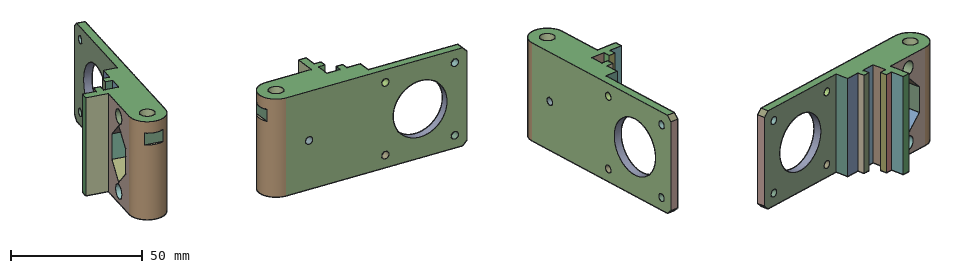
import cadquery as cq

length = 88.2
height = 42.0
total_depth = 24.25

plate_thickness = 3.5
shelf_depth = 9.3
body_depth = 15.0
tooth_size = 3.0
wall_thickness = 3.4
hook_depth = 15.4

shelf_x = 42.0
tooth_x = 48.0
wall_x = 56.9
pivot_radius = body_depth / 2
pivot_x = length - pivot_radius
pivot_diameter = 6.0

corner_chamfer = 2.0
motor_x = 21.0
motor_bore = 24.0
screw_spacing = 31.05
screw_diameter = 3.2

pocket_x = 70.6
pocket_width = 13.3
pocket_half_height = 12.1
pocket_shoulder = 5.5
pocket_depth = 10.0
blind_spacing = 32.0
blind_diameter = 6.0
blind_depth = 10.0

notch_depth = 1.1
notch_height = 5.0
notch_z = 13.6


def front_plane(depth):
    """Sketch plane facing -Y, with local axes along X and Z."""
    return cq.Workplane("XZ", origin=(0, -depth, 0))


def make_body():
    wall_end_x = wall_x + wall_thickness
    profile = (
        cq.Workplane("XY", origin=(0, 0, -height / 2))
        .moveTo(0, 0)
        .lineTo(pivot_x, 0)
        .threePointArc((length, -pivot_radius), (pivot_x, -body_depth))
        .lineTo(wall_end_x, -body_depth)
        .lineTo(wall_end_x, -total_depth)
        .lineTo(wall_x, -total_depth)
        .lineTo(wall_x, -hook_depth - tooth_size)
        .lineTo(wall_x - tooth_size, -hook_depth - tooth_size)
        .lineTo(wall_x - tooth_size, -hook_depth)
        .lineTo(wall_x, -hook_depth)
        .lineTo(wall_x, -shelf_depth)
        .lineTo(tooth_x + tooth_size, -shelf_depth)
        .lineTo(tooth_x + tooth_size, -shelf_depth - tooth_size)
        .lineTo(tooth_x, -shelf_depth - tooth_size)
        .lineTo(tooth_x, -shelf_depth)
        .lineTo(shelf_x, -shelf_depth)
        .lineTo(shelf_x, -plate_thickness)
        .lineTo(0, -plate_thickness)
        .close()
    )
    body = profile.extrude(height)
    return body.edges("<X and |Y").chamfer(corner_chamfer)


def make_motor_holes():
    bore = front_plane(plate_thickness).center(motor_x, 0).circle(motor_bore / 2)
    screws = (
        front_plane(plate_thickness)
        .center(motor_x, 0)
        .rect(screw_spacing, screw_spacing, forConstruction=True)
        .vertices()
        .circle(screw_diameter / 2)
    )
    return bore.extrude(-plate_thickness).union(screws.extrude(-plate_thickness))


def make_pivot_hole():
    hole = cq.Workplane("XY").center(pivot_x, -pivot_radius).circle(pivot_diameter / 2)
    return hole.extrude(height / 2, both=True)


def make_clamp_pocket():
    half_width = pocket_width / 2
    pocket = (
        front_plane(body_depth)
        .center(pocket_x, 0)
        .polyline([
            (0, pocket_half_height),
            (half_width, pocket_shoulder),
            (half_width, -pocket_shoulder),
            (0, -pocket_half_height),
            (-half_width, -pocket_shoulder),
            (-half_width, pocket_shoulder),
        ])
        .close()
        .extrude(-pocket_depth)
    )
    screw = front_plane(body_depth).center(pocket_x, 0).circle(screw_diameter / 2)
    blind_holes = (
        front_plane(body_depth)
        .center(pocket_x, 0)
        .pushPoints([(0, side * blind_spacing / 2) for side in (-1, 1)])
        .circle(blind_diameter / 2)
        .extrude(-blind_depth)
    )
    return pocket.union(screw.extrude(-body_depth)).union(blind_holes)


def make_end_notch():
    notch = cq.Workplane("XY").box(notch_depth, body_depth, notch_height)
    return notch.translate((length - notch_depth / 2, -pivot_radius, notch_z))


result = (
    make_body()
    .cut(make_motor_holes())
    .cut(make_pivot_hole())
    .cut(make_clamp_pocket())
    .cut(make_end_notch())
)